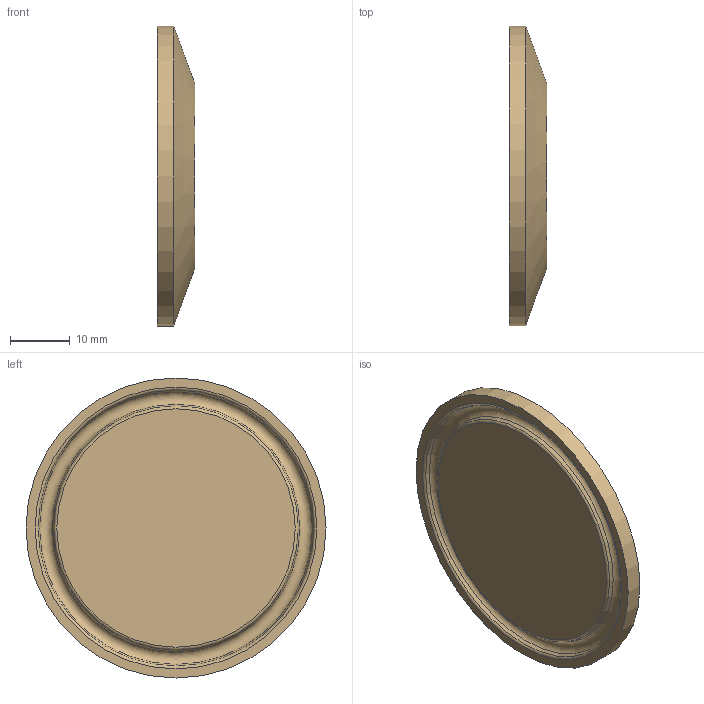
import cadquery as cq
import math

outer_diameter = 50.39
total_thickness = 6.35
rim_thickness = 2.8
back_taper_angle = 20.0

groove_center_diameter = 43.7
groove_bottom_radius = 1.2
groove_flank_angle = 64.0
flank_radial_width = 0.28
lip_radius = 0.52


def revolve_about_x(profile):
    """Turn an XY profile (X axial, Y radial) fully about the X axis."""
    return profile.close().revolve(360, (0, 0, 0), (1, 0, 0))


def make_disc():
    """Solid disc with a straight rim and a conical back."""
    rim_radius = outer_diameter / 2
    taper_depth = total_thickness - rim_thickness
    back_radius = rim_radius - taper_depth / math.tan(math.radians(back_taper_angle))
    profile = (
        cq.Workplane("XY")
        .lineTo(0, rim_radius)
        .lineTo(rim_thickness, rim_radius)
        .lineTo(total_thickness, back_radius)
        .lineTo(total_thickness, 0)
    )
    return revolve_about_x(profile)


def make_groove_cutter():
    """Ring that fills the groove, with every arc tangent to its neighbours."""
    angle = math.radians(groove_flank_angle)
    half_angle = angle / 2
    center = groove_center_diameter / 2

    bottom_arc_offset = groove_bottom_radius * math.sin(angle)
    lip_start_offset = bottom_arc_offset + flank_radial_width
    lip_end_offset = lip_start_offset + lip_radius * math.sin(angle)
    lip_middle_offset = lip_end_offset - lip_radius * math.sin(half_angle)

    lip_middle_depth = lip_radius * (1 - math.cos(half_angle))
    lip_start_depth = lip_radius * (1 - math.cos(angle))
    bottom_arc_depth = lip_start_depth + flank_radial_width * math.tan(angle)
    groove_depth = bottom_arc_depth + groove_bottom_radius * (1 - math.cos(angle))

    profile = (
        cq.Workplane("XY")
        .moveTo(0, center - lip_end_offset)
        .threePointArc(
            (lip_middle_depth, center - lip_middle_offset),
            (lip_start_depth, center - lip_start_offset),
        )
        .lineTo(bottom_arc_depth, center - bottom_arc_offset)
        .threePointArc(
            (groove_depth, center),
            (bottom_arc_depth, center + bottom_arc_offset),
        )
        .lineTo(lip_start_depth, center + lip_start_offset)
        .threePointArc(
            (lip_middle_depth, center + lip_middle_offset),
            (0, center + lip_end_offset),
        )
    )
    return revolve_about_x(profile)


result = make_disc().cut(make_groove_cutter())